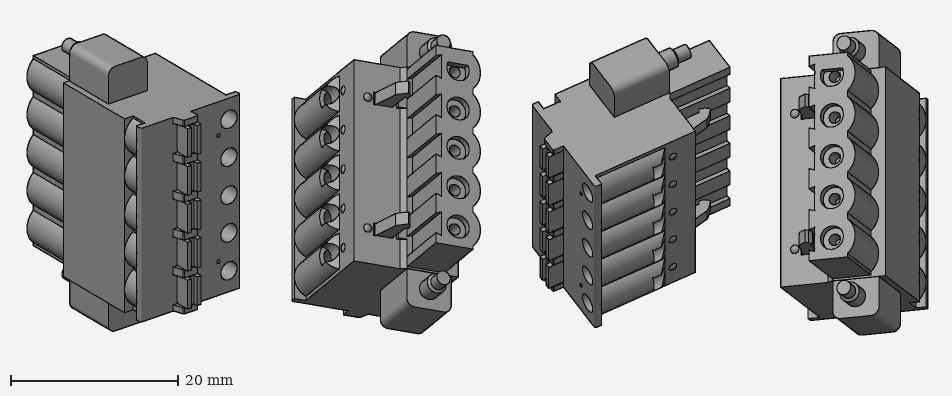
import cadquery as cq
import math


POLE_COUNT = 5
PITCH = 5.08
pole_heights = [(i - (POLE_COUNT - 1) / 2) * PITCH for i in range(POLE_COUNT)]
gap_heights = [z + PITCH / 2 for z in pole_heights[:-1]]

HOUSING_HALF_HEIGHT = 13.0
HOUSING_LEFT = 8.77
HOUSING_FOOT_LEFT = 8.3
HOUSING_RIGHT = 23.57
HOUSING_TOP = 6.0
BEVEL_START = -0.05
DEPTH = 15.0
HALF_DEPTH = DEPTH / 2
WALL_LEFT = 22.65
WALL_ROUND = 0.3

LOBE_HALF_WIDTH = 2.3
LOBE_SLOPE_FOOT = 13.0
LOBE_SLOPE_RUN = 1.5
SCREW_BORE_RADIUS = 1.17
SCREW_BORE_END = 15.37
WIRE_HOLE_RADIUS = 1.2
WIRE_HOLE_Y = 5.75

RECESS_LEFT = 20.35
RECESS_FLOOR = -6.2
REAR_LOBE_HALF_WIDTH = 2.38
REAR_LOBE_SHIFT = 0.18

PLUG_HALF_HEIGHT = 12.75
PLUG_TOP = -0.78
PLUG_VALLEY = -5.68
PLUG_BOTTOM = -6.65
PLUG_LOBE_HALF_WIDTH = 2.15
NOTCH_DEPTH = 0.7
NOTCH_MOUTH = 2.55
NOTCH_BASE = 3.0
AXIS_Y = -3.7
SOCKET_RADIUS = 1.45
SOCKET_DEPTH = 1.0
SOCKET_FLAT = 0.7
CONTACT_RADIUS = 0.7
CONTACT_DEPTH = 3.2

FLANGE_HALF_HEIGHT = 17.75
FLANGE_LEFT = 8.4
FLANGE_RIGHT = 16.05
FLANGE_ROUND = 1.0
screw_height = 3 * PITCH
SCREW_TIP = 4.2
SCREW_TIP_END = 5.93
SCREW_BODY_START = 6.18
SCREW_TIP_RADIUS = 0.9
SCREW_RADIUS = 1.25

LATCH_WIDTH = 1.55
LATCH_HEIGHT = 8.45
LATCH_PAD_TOP = 0.4
LATCH_ROOT_TOP = 3.12
LATCH_ROOT_BOTTOM = 1.0
LATCH_POCKET_DEPTH = 0.2
LATCH_POCKET_TOP = 3.37
DIMPLE_RADIUS = 0.55
DIMPLE_RISE = 0.25
SIDE_DIMPLE_Y = 4.2
TOP_DIMPLE_X = 11.9
BACK_DIMPLE_RADIUS = 0.25
BACK_DIMPLE_RISE = 0.1

TAIL_TOP = 0.05
TAIL_RIGHT = 25.0
TAIL_LOW_RIGHT = -2.13
TAIL_LOW_LEFT = -2.7
TAIL_FOOT_RUN = 0.15
TAIL_FOOT_TOP = -2.55
TAIL_CHAMFER = 0.1
RIB_WIDTH = 1.05
TAB_WIDTH = 3.87
TAB_RIGHT = 25.6
TAB_BOTTOM = -2.05
PRONG_THICKNESS = 0.6


def block(x0, x1, y0, y1, z0, z1):
    """Box between two opposite corners."""
    return cq.Workplane("XY").box(x1 - x0, y1 - y0, z1 - z0, centered=False).translate((x0, y0, z0))


def rod(x0, x1, y, z, radius):
    """Cylinder along X."""
    return cq.Workplane("YZ", origin=(x0, y, z)).circle(radius).extrude(x1 - x0)


def lobe(x0, x1, y_base, y_crest, z, half_width):
    """Cylindrical bulge along X, standing on the plane y_base."""
    return (
        cq.Workplane("YZ", origin=(x0, 0, z))
        .moveTo(y_base, -half_width)
        .threePointArc((y_crest, 0), (y_base, half_width))
        .close()
        .extrude(x1 - x0)
    )


def dome(center, outward, base_radius, rise):
    """Spherical bump standing on a face, with its base circle at center."""
    radius = (base_radius**2 + rise**2) / (2 * rise)
    up = cq.Vector(0, 0, 1)
    half_angle = math.asin(base_radius / radius) / 2
    return (
        cq.Workplane(cq.Plane(center, up, up.cross(cq.Vector(*outward))))
        .lineTo(base_radius, 0)
        .threePointArc(
            (radius * math.sin(half_angle), rise - radius * (1 - math.cos(half_angle))),
            (0, rise),
        )
        .close()
        .revolve(360, (0, 0, 0), (0, 1, 0))
    )


def make_housing():
    housing = (
        cq.Workplane("XY", origin=(0, 0, -HOUSING_HALF_HEIGHT))
        .moveTo(HOUSING_FOOT_LEFT, -HALF_DEPTH)
        .lineTo(HOUSING_RIGHT, -HALF_DEPTH)
        .lineTo(HOUSING_RIGHT, HALF_DEPTH)
        .lineTo(WALL_LEFT, HALF_DEPTH)
        .lineTo(WALL_LEFT, HOUSING_TOP)
        .lineTo(HOUSING_LEFT, HOUSING_TOP)
        .lineTo(HOUSING_LEFT, BEVEL_START)
        .lineTo(HOUSING_FOOT_LEFT, PLUG_TOP)
        .close()
        .extrude(2 * HOUSING_HALF_HEIGHT)
        .edges("|Z and >X")
        .fillet(WALL_ROUND)
    )
    recess = block(
        RECESS_LEFT, WALL_LEFT, -HALF_DEPTH, RECESS_FLOOR, -HOUSING_HALF_HEIGHT, HOUSING_HALF_HEIGHT
    )
    housing = housing.cut(recess)
    for z in pole_heights:
        lobe_z = z + REAR_LOBE_SHIFT
        housing = housing.union(
            lobe(RECESS_LEFT, WALL_LEFT, RECESS_FLOOR, -HALF_DEPTH, lobe_z, REAR_LOBE_HALF_WIDTH)
        )
    return housing


def add_funnels(body):
    """Wire funnels with a sloped front, an open screw bore and a through wire hole."""
    slope = (
        cq.Workplane("XY", origin=(0, 0, -HOUSING_HALF_HEIGHT))
        .moveTo(LOBE_SLOPE_FOOT, HOUSING_TOP)
        .lineTo(LOBE_SLOPE_FOOT + LOBE_SLOPE_RUN, HALF_DEPTH)
        .lineTo(LOBE_SLOPE_FOOT, HALF_DEPTH)
        .close()
        .extrude(2 * HOUSING_HALF_HEIGHT)
    )
    screw_bore_y = HOUSING_TOP + SCREW_BORE_RADIUS
    for z in pole_heights:
        funnel = lobe(LOBE_SLOPE_FOOT, WALL_LEFT, HOUSING_TOP, HALF_DEPTH, z, LOBE_HALF_WIDTH)
        body = body.union(funnel.cut(slope))
    for z in pole_heights:
        body = body.cut(rod(LOBE_SLOPE_FOOT, SCREW_BORE_END, screw_bore_y, z, SCREW_BORE_RADIUS))
        body = body.cut(rod(SCREW_BORE_END, HOUSING_RIGHT, WIRE_HOLE_Y, z, WIRE_HOLE_RADIUS))
    return body


def make_plug():
    plug = block(0, HOUSING_LEFT, PLUG_VALLEY, PLUG_TOP, -PLUG_HALF_HEIGHT, PLUG_HALF_HEIGHT)
    for z in pole_heights:
        plug = plug.union(lobe(0, HOUSING_LEFT, PLUG_VALLEY, PLUG_BOTTOM, z, PLUG_LOBE_HALF_WIDTH))
    for z in pole_heights:
        notch = (
            cq.Workplane("YZ", origin=(0, 0, z))
            .moveTo(PLUG_TOP, -NOTCH_MOUTH / 2)
            .lineTo(PLUG_TOP - NOTCH_DEPTH, -NOTCH_BASE / 2)
            .lineTo(PLUG_TOP - NOTCH_DEPTH, NOTCH_BASE / 2)
            .lineTo(PLUG_TOP, NOTCH_MOUTH / 2)
            .close()
            .extrude(HOUSING_FOOT_LEFT)
        )
        plug = plug.cut(notch)
    return plug


def make_sockets():
    """Stepped contact sockets; the topmost one has a flat for keying."""
    sockets = cq.Workplane("XY")
    for z in pole_heights:
        mouth = rod(0, SOCKET_DEPTH, AXIS_Y, z, SOCKET_RADIUS)
        if z == pole_heights[-1]:
            flat = block(
                0, SOCKET_DEPTH,
                AXIS_Y - SOCKET_RADIUS, AXIS_Y + SOCKET_RADIUS,
                z + SOCKET_FLAT, z + SOCKET_RADIUS,
            )
            mouth = mouth.cut(flat)
        sockets = sockets.union(mouth)
        sockets = sockets.union(rod(0, CONTACT_DEPTH, AXIS_Y, z, CONTACT_RADIUS))
    return sockets


def make_flanges():
    """One long block whose ends stand out above and below the housing."""
    return block(
        FLANGE_LEFT, FLANGE_RIGHT, PLUG_BOTTOM, PLUG_TOP, -FLANGE_HALF_HEIGHT, FLANGE_HALF_HEIGHT
    ).edges("|X").fillet(FLANGE_ROUND)


def make_screw(z):
    return (
        cq.Workplane("XY", origin=(0, AXIS_Y, z))
        .moveTo(SCREW_TIP, 0)
        .lineTo(SCREW_TIP, SCREW_TIP_RADIUS)
        .lineTo(SCREW_TIP_END, SCREW_TIP_RADIUS)
        .lineTo(SCREW_BODY_START, SCREW_RADIUS)
        .lineTo(FLANGE_RIGHT, SCREW_RADIUS)
        .lineTo(FLANGE_RIGHT, 0)
        .close()
        .revolve(360, (0, 0, 0), (1, 0, 0))
    )


def make_latch(z):
    """Hooked arm reaching toward -X, with a pad that fills the housing bevel below it."""
    arm_outline = [
        (HOUSING_LEFT, LATCH_ROOT_TOP),
        (4.97, 2.27),
        (4.6, 2.02),
        (3.8, 1.1),
        (4.12, 0.78),
        (4.72, 0.5),
        (5.08, 0.5),
        (5.3, 0.9),
        (HOUSING_LEFT, LATCH_ROOT_BOTTOM),
    ]
    bottom = z - LATCH_WIDTH / 2
    arm = cq.Workplane("XY", origin=(0, 0, bottom)).polyline(arm_outline).close().extrude(LATCH_WIDTH)
    pad = block(HOUSING_FOOT_LEFT, HOUSING_LEFT, PLUG_TOP, LATCH_PAD_TOP, bottom, bottom + LATCH_WIDTH)
    return arm.union(pad)


def make_latch_pocket(z):
    """Shallow clearance in the housing front, just above the latch root."""
    return block(
        HOUSING_LEFT, HOUSING_LEFT + LATCH_POCKET_DEPTH,
        LATCH_ROOT_TOP, LATCH_POCKET_TOP,
        z - LATCH_WIDTH / 2, z + LATCH_WIDTH / 2,
    )


def make_rib(z, width):
    return (
        cq.Workplane("XY", origin=(0, 0, z - width / 2))
        .moveTo(HOUSING_RIGHT, TAIL_TOP)
        .lineTo(TAIL_RIGHT, TAIL_TOP)
        .lineTo(TAIL_RIGHT, TAIL_LOW_RIGHT)
        .lineTo(HOUSING_RIGHT + TAIL_FOOT_RUN, TAIL_FOOT_TOP)
        .tangentArcPoint((HOUSING_RIGHT, TAIL_LOW_LEFT), relative=False)
        .close()
        .extrude(width)
        .edges("|Z and >X")
        .chamfer(TAIL_CHAMFER)
    )


def make_tab(z):
    """Solid root with one prong along its top and one along its bottom."""
    bottom = z - TAB_WIDTH / 2
    top = z + TAB_WIDTH / 2
    tab = block(HOUSING_RIGHT, TAB_RIGHT, TAB_BOTTOM, 0, bottom, top)
    slit = block(TAIL_RIGHT, TAB_RIGHT, TAB_BOTTOM + PRONG_THICKNESS, -PRONG_THICKNESS, bottom, top)
    return tab.cut(slit)


def add_tail(body):
    for z in pole_heights:
        body = body.union(make_tab(z))
    for z in gap_heights:
        body = body.union(make_rib(z, RIB_WIDTH))
    end_rib_width = HOUSING_HALF_HEIGHT - gap_heights[-1] - PITCH + RIB_WIDTH / 2
    end_rib_height = HOUSING_HALF_HEIGHT - end_rib_width / 2
    for side in (-1, 1):
        body = body.union(make_rib(side * end_rib_height, end_rib_width))
    return body


def add_dimples(body):
    for z in pole_heights:
        body = body.union(dome((TOP_DIMPLE_X, HOUSING_TOP, z), (0, 1, 0), DIMPLE_RADIUS, DIMPLE_RISE))
    for side in (-1, 1):
        z = side * LATCH_HEIGHT
        body = body.union(dome((HOUSING_LEFT, SIDE_DIMPLE_Y, z), (-1, 0, 0), DIMPLE_RADIUS, DIMPLE_RISE))
        body = body.union(
            dome((HOUSING_RIGHT, SIDE_DIMPLE_Y, z), (1, 0, 0), BACK_DIMPLE_RADIUS, BACK_DIMPLE_RISE)
        )
    return body


part = add_funnels(make_housing())
part = part.union(make_flanges())
part = part.union(make_plug())
part = part.cut(make_sockets())
for end in (-1, 1):
    part = part.union(make_screw(end * screw_height))
    part = part.cut(make_latch_pocket(end * LATCH_HEIGHT))
    part = part.union(make_latch(end * LATCH_HEIGHT))
part = add_tail(part)
result = add_dimples(part)